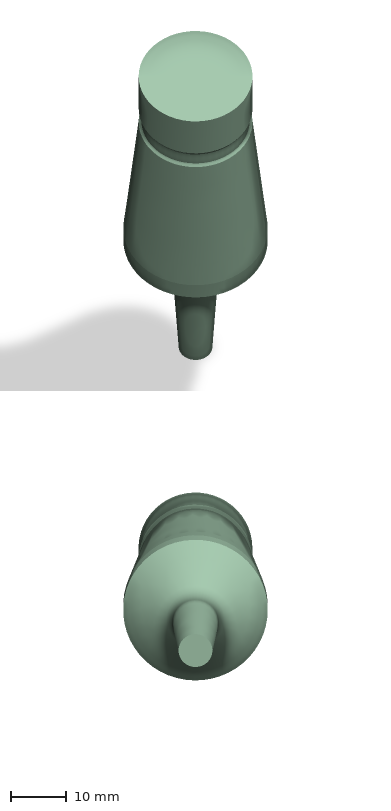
import cadquery as cq

body_diameter = 26.0
cap_radius = 10.2
groove_radius = 9.8
body_radius = body_diameter / 2
neck_radius = 5.1
stem_top_radius = 4.2
stem_tip_radius = 3.0

stem_top = 22.1
neck_top = 24.1
band_bottom = 31.5
band_top = 35.1
shoulder_bottom = 66.5
groove_bottom = 67.0
groove_top = 69.6
cap_bottom = 70.6
total_height = 80.0

profile = (
    cq.Workplane("XZ")
    .lineTo(stem_tip_radius, 0)
    .lineTo(stem_top_radius, stem_top)
    .tangentArcPoint((neck_radius, neck_top), relative=False)
    .lineTo(body_radius, band_bottom)
    .lineTo(body_radius, band_top)
    .lineTo(cap_radius, shoulder_bottom)
    .lineTo(groove_radius, groove_bottom)
    .lineTo(groove_radius, groove_top)
    .lineTo(cap_radius, cap_bottom)
    .lineTo(cap_radius, total_height)
    .lineTo(0, total_height)
    .close()
)

result = profile.revolve(360, (0, 0, 0), (0, 1, 0))